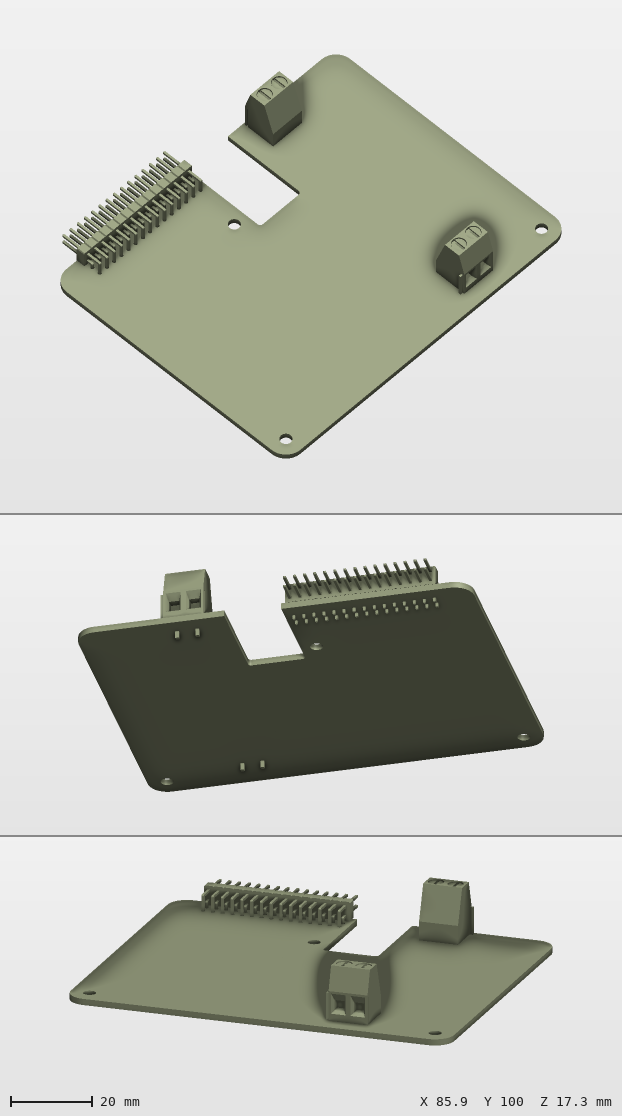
import cadquery as cq
board_length_x = 80.0
board_width_y = 100.0
board_thickness = 1.6
board_corner_radius = 5.0

standoff = 0.1
seat_z = board_thickness + standoff

slot_depth = 25.0
slot_low_y = 47.6
slot_high_y = 62.0
slot_corner_radius = 0.8

mounting_hole_diameter = 3.2
mounting_hole_inset = 4.9
inner_mounting_hole = (20.0, 43.6)

terminal_pitch = 5.08
terminal_width = 2 * terminal_pitch
terminal_front = -4.3
terminal_back = 5.3
terminal_top_front = -2.5
terminal_top_back = 2.3
terminal_height = 13.8
front_slope_start = 7.7
back_slope_start = 4.9

screw_well_diameter = 4.0
screw_well_depth = 0.8
screw_head_diameter = 3.8
screw_head_height = 0.5
screw_slot_width = 0.8

wire_mouth_width = 3.8
wire_mouth_height = 5.2
wire_mouth_center_z = 4.5
wire_funnel_depth = 1.0
wire_hole_size = 2.6
wire_hole_center_z = 3.9
wire_hole_depth = 2.0

dovetail_center_x = -3.5
dovetail_root_width = 0.4
dovetail_tip_width = 0.8
dovetail_depth = 0.8
dovetail_height = 7.1

terminal_leg_length = 3.5
terminal_leg_size = 0.9
terminal_hole_diameter = 1.3

terminal_center_y = 72.5
left_terminal_x = 4.9
right_terminal_x = 71.2

header_pitch = 2.54
header_columns = 15
header_rows = 2
header_center_y = 27.6
header_body_length = header_pitch
header_body_height = header_rows * header_pitch
header_notch = 0.25

header_pin_size = 0.64
header_pin_front = board_length_x - 85.9
header_pin_reach = 1.1
header_tip_chamfer = 0.2
header_bend_radius = 0.4
header_body_start = 0.1
lower_leg_x = 4.2
header_hole_diameter = 1.0

terminal_leg_ys = [-terminal_pitch / 2, terminal_pitch / 2]
header_pin_ys = [
    header_center_y + (column - (header_columns - 1) / 2) * header_pitch for column in range(header_columns)
]
header_row_places = [
    (lower_leg_x + row * header_pitch, seat_z + (row + 0.5) * header_pitch)
    for row in range(header_rows)
]


def make_board():
    board = (
        cq.Workplane("XY")
        .rect(board_length_x, board_width_y, centered=False)
        .extrude(board_thickness)
        .edges("|Z")
        .fillet(board_corner_radius)
    )

    slot = (
        cq.Workplane("XY")
        .moveTo(0, slot_low_y)
        .rect(slot_depth, slot_high_y - slot_low_y, centered=False)
        .extrude(board_thickness)
        .edges("|Z and >X")
        .fillet(slot_corner_radius)
    )
    board = board.cut(slot)

    mounting_hole_x = board_length_x - mounting_hole_inset
    mounting_holes = [
        (mounting_hole_x, mounting_hole_inset),
        (mounting_hole_x, board_width_y - mounting_hole_inset),
        inner_mounting_hole,
    ]
    terminal_holes = [
        (x, terminal_center_y + y) for x in (left_terminal_x, right_terminal_x) for y in terminal_leg_ys
    ]
    header_holes = [(leg_x, y) for leg_x, _ in header_row_places for y in header_pin_ys]

    for diameter, places in (
        (mounting_hole_diameter, mounting_holes),
        (terminal_hole_diameter, terminal_holes),
        (header_hole_diameter, header_holes),
    ):
        drills = cq.Workplane("XY").pushPoints(places).circle(diameter / 2).extrude(board_thickness)
        board = board.cut(drills)
    return board


def make_dovetail(side_y):
    """Upright dovetail that starts at side_y, runs toward +Y and widens on the way."""
    root = dovetail_root_width / 2
    tip = dovetail_tip_width / 2
    return (
        cq.Workplane("XY")
        .moveTo(dovetail_center_x - root, side_y)
        .lineTo(dovetail_center_x + root, side_y)
        .lineTo(dovetail_center_x + tip, side_y + dovetail_depth)
        .lineTo(dovetail_center_x - tip, side_y + dovetail_depth)
        .close()
        .extrude(dovetail_height)
    )


def make_screw_recess(y):
    """Space around and above one slotted screw head sunk in the top of the terminal."""
    well_floor = terminal_height - screw_well_depth
    well = (
        cq.Workplane("XY", origin=(0, y, well_floor)).circle(screw_well_diameter / 2).extrude(screw_well_depth)
    )
    head = (
        cq.Workplane("XY", origin=(0, y, well_floor)).circle(screw_head_diameter / 2).extrude(screw_head_height)
    )
    driver_slot = (
        cq.Workplane("XY", origin=(0, y, well_floor))
        .rect(screw_well_diameter, screw_slot_width)
        .extrude(screw_head_height)
    )
    return well.cut(head.cut(driver_slot))


def make_wire_entry(y):
    """Funnel in the front face that narrows to a square wire hole."""
    funnel = (
        cq.Workplane("YZ", origin=(terminal_front, y, wire_mouth_center_z))
        .rect(wire_mouth_width, wire_mouth_height)
        .workplane(offset=wire_funnel_depth)
        .center(0, wire_hole_center_z - wire_mouth_center_z)
        .rect(wire_hole_size, wire_hole_size)
        .loft(ruled=True)
    )
    hole = (
        cq.Workplane("YZ", origin=(terminal_front + wire_funnel_depth, y, wire_hole_center_z))
        .rect(wire_hole_size, wire_hole_size)
        .extrude(wire_hole_depth)
    )
    return funnel.union(hole)


def make_terminal():
    half_width = terminal_width / 2
    terminal = (
        cq.Workplane("XZ", origin=(0, half_width, 0))
        .moveTo(terminal_front, 0)
        .lineTo(terminal_back, 0)
        .lineTo(terminal_back, back_slope_start)
        .lineTo(terminal_top_back, terminal_height)
        .lineTo(terminal_top_front, terminal_height)
        .lineTo(terminal_front, front_slope_start)
        .close()
        .extrude(terminal_width)
    )

    terminal = terminal.union(make_dovetail(half_width)).cut(make_dovetail(-half_width))

    for y in terminal_leg_ys:
        leg = (
            cq.Workplane("XY", origin=(0, y, -terminal_leg_length))
            .rect(terminal_leg_size, terminal_leg_size)
            .extrude(terminal_leg_length)
        )
        terminal = terminal.cut(make_screw_recess(y)).cut(make_wire_entry(y)).union(leg)
    return terminal


def place_terminal(x, turn):
    """One terminal on the board, turned about Z by the given angle in degrees."""
    turned = make_terminal().rotate((0, 0, 0), (0, 0, 1), turn)
    return turned.translate((x, terminal_center_y, seat_z))


def make_header_pin(leg_x, pin_z, y):
    """One bent pin: a level bar toward -X and a leg down through the board."""
    half = header_pin_size / 2
    return (
        cq.Workplane("XZ", origin=(0, y + half, 0))
        .moveTo(header_pin_front, pin_z - half)
        .lineTo(leg_x - half, pin_z - half)
        .lineTo(leg_x - half, -header_pin_reach)
        .lineTo(leg_x + half, -header_pin_reach)
        .lineTo(leg_x + half, pin_z + half - header_bend_radius)
        .radiusArc((leg_x + half - header_bend_radius, pin_z + half), -header_bend_radius)
        .lineTo(header_pin_front, pin_z + half)
        .close()
        .extrude(header_pin_size)
        .faces("<X or <Z")
        .chamfer(header_tip_chamfer)
    )


def make_header():
    header = cq.Workplane("XY")
    for y in header_pin_ys:
        block = (
            cq.Workplane("XY", origin=(header_body_start, y, seat_z))
            .box(header_body_length, header_pitch, header_body_height, centered=(False, True, False))
            .edges("|X")
            .chamfer(header_notch)
        )
        header = header.union(block)

    for leg_x, pin_z in header_row_places:
        for y in header_pin_ys:
            header = header.union(make_header_pin(leg_x, pin_z, y))
    return header


board = make_board()
terminals = [place_terminal(left_terminal_x, 0), place_terminal(right_terminal_x, 180)]
header = make_header()

result = cq.Compound.makeCompound(
    [board.val(), *[terminal.val() for terminal in terminals], header.val()]
)